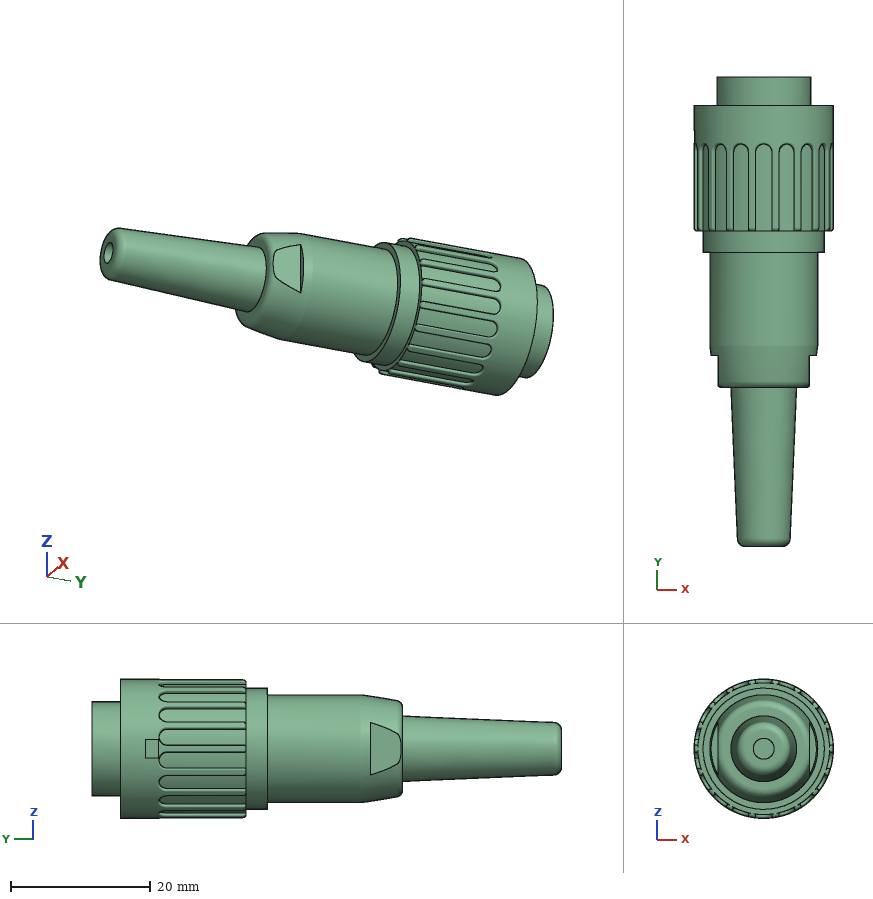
import cadquery as cq

SHELL_END = 4.1
COLLAR_END = 22.15
FLANGE_END = 25.2
BODY_END = 38.6
CAP_END = 44.6
TOTAL_LENGTH = 67.4

SHELL_DIA = 13.5
COLLAR_DIA = 20.0
FLANGE_DIA = 17.4
BODY_DIA = 15.5
CAP_TIP_DIA = 13.5
BOOT_BASE_DIA = 9.45
BOOT_TIP_DIA = 7.5

CAP_BULGE = 0.05
CAP_TIP_FILLET = 1.0
BOOT_TIP_FILLET = 1.2

FLUTE_COUNT = 18
FLUTE_START = 9.65
FLUTE_DEPTH = 0.55
FLUTE_WIDTH = 2.35
RIM_FILLET = 0.5
RIB_FILLET = 0.22

NOTCH_START = 7.7
NOTCH_END = 9.55
NOTCH_WIDTH = 2.7
NOTCH_DEPTH = 2.5

FLATS_START = 40.0
ACROSS_FLATS = 13.1

CABLE_HOLE_DIA = 3.0
CABLE_HOLE_DEPTH = 6.0


def revolve_about_y(profile):
    """Full turn of a closed XY profile around the Y axis."""
    return profile.revolve(360, (0, 0, 0), (0, 1, 0))


def round_section(start, end, start_dia, end_dia=None):
    """Cylinder or cone on the Y axis between two stations."""
    end_dia = end_dia or start_dia
    points = [(0, -start), (start_dia / 2, -start), (end_dia / 2, -end), (0, -end)]
    return revolve_about_y(cq.Workplane("XY").polyline(points).close())


def flute_cutter():
    """Round-ended slot with straight walls and a floor that follows a cylinder."""
    half = FLUTE_WIDTH / 2
    run_out = COLLAR_END + FLUTE_WIDTH
    slot = (
        cq.Workplane("XY")
        .moveTo(-half, -run_out)
        .lineTo(-half, -FLUTE_START - half)
        .threePointArc((0, -FLUTE_START), (half, -FLUTE_START - half))
        .lineTo(half, -run_out)
        .close()
        .extrude(COLLAR_DIA)
    )
    return slot.cut(round_section(0, TOTAL_LENGTH, COLLAR_DIA - 2 * FLUTE_DEPTH))


def round_rib_edges(collar):
    """Fillet the flute edges that lie in the collar's outer cylinder."""
    flute_zone = cq.selectors.BoxSelector(
        (-COLLAR_DIA, -COLLAR_END + RIM_FILLET / 2, -COLLAR_DIA),
        (COLLAR_DIA, -FLUTE_START + RIB_FILLET, COLLAR_DIA),
    )
    outer = collar.faces("%CYLINDER").faces(cq.selectors.AreaNthSelector(-1))
    rib_edges = outer.edges(flute_zone).edges("not %CIRCLE")
    return collar.newObject(rib_edges.vals()).fillet(RIB_FILLET)


def index_notch():
    length = NOTCH_END - NOTCH_START
    center = (-COLLAR_DIA / 2, -(NOTCH_START + NOTCH_END) / 2, 0)
    return cq.Workplane("XY").box(2 * NOTCH_DEPTH, length, NOTCH_WIDTH).translate(center)


def make_collar():
    collar = round_section(SHELL_END, COLLAR_END, COLLAR_DIA)
    collar = collar.faces("<Y").edges().fillet(RIM_FILLET)
    cutter = flute_cutter()
    for index in range(FLUTE_COUNT):
        angle = 360 / FLUTE_COUNT * index
        collar = collar.cut(cutter.rotate((0, 0, 0), (0, 1, 0), angle))
    return round_rib_edges(collar).cut(index_notch())


def make_cap():
    """Slightly bulged taper with a rounded tip and a wrench flat on each X side."""
    middle = ((BODY_DIA + CAP_TIP_DIA) / 4 + CAP_BULGE, -(BODY_END + CAP_END) / 2)
    cap = revolve_about_y(
        cq.Workplane("XY")
        .moveTo(0, -BODY_END)
        .lineTo(BODY_DIA / 2, -BODY_END)
        .threePointArc(middle, (CAP_TIP_DIA / 2, -CAP_END))
        .lineTo(0, -CAP_END)
        .close()
    )
    cap = cap.faces("<Y").edges().fillet(CAP_TIP_FILLET)
    length = CAP_END - FLATS_START
    offset = (ACROSS_FLATS + BODY_DIA) / 2
    for side in (-1, 1):
        waste = cq.Workplane("XY").box(BODY_DIA, length, BODY_DIA)
        cap = cap.cut(waste.translate((side * offset, -FLATS_START - length / 2, 0)))
    return cap


def make_boot():
    boot = round_section(CAP_END, TOTAL_LENGTH, BOOT_BASE_DIA, BOOT_TIP_DIA)
    boot = boot.faces("<Y").edges().fillet(BOOT_TIP_FILLET)
    return boot.cut(round_section(TOTAL_LENGTH - CABLE_HOLE_DEPTH, TOTAL_LENGTH, CABLE_HOLE_DIA))


result = (
    round_section(0, SHELL_END, SHELL_DIA)
    .union(make_collar())
    .union(round_section(COLLAR_END, FLANGE_END, FLANGE_DIA))
    .union(round_section(FLANGE_END, BODY_END, BODY_DIA))
    .union(make_cap())
    .union(make_boot())
)